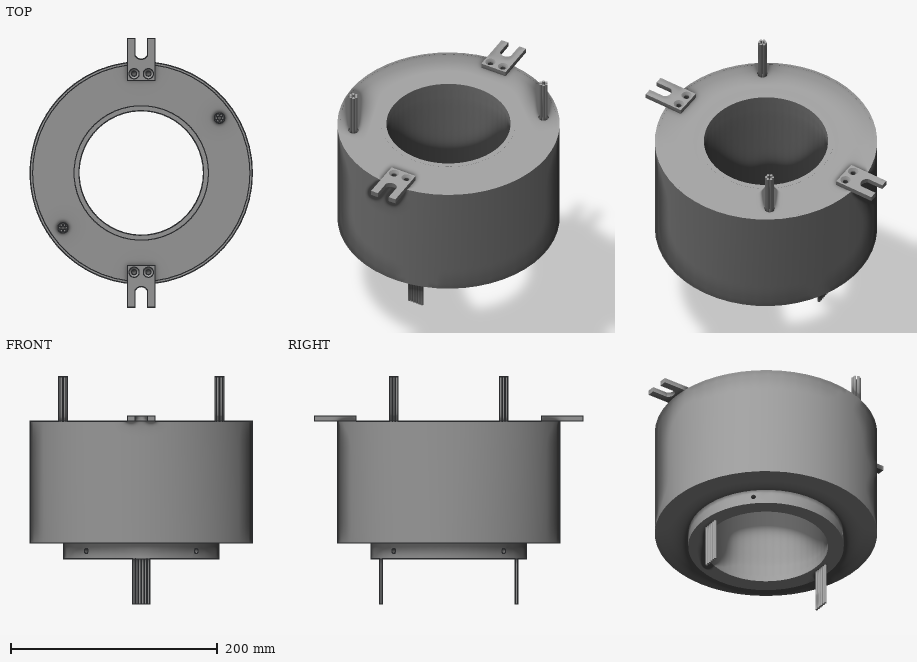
import cadquery as cq
import math

HOUSING_DIAMETER = 215.0
HOUSING_HEIGHT = 118.0
COLLAR_DIAMETER = 150.5
COLLAR_HEIGHT = 15.0
BORE_DIAMETER = 120.0

COVER_INNER_DIAMETER = 130.0
COVER_OUTER_DIAMETER = 210.0
COVER_STEP = 0.13

SET_SCREW_COUNT = 4
SET_SCREW_START_ANGLE = 45
SET_SCREW_DIAMETER = 5.0
SET_SCREW_DEPTH = 9.0

OVERALL_LENGTH = 260.0
BRACKET_WIDTH = 26.8
BRACKET_LENGTH = 40.5
BRACKET_THICKNESS = 5.0
FORK_WIDTH = 12.0
FORK_DEPTH = 20.0
FORK_END_RADIUS = 6.8

SCREW_SPACING = 13.8
SCREW_EDGE_DISTANCE = 6.5
SCREW_DIAMETER = 5.0
SCREW_HEAD_DIAMETER = 10.0
COUNTERSINK_ANGLE = 90
SCREW_HOLE_DEPTH = 15.5
DRILL_POINT_ANGLE = 118

WIRE_DIAMETER = 2.5
BUNDLE_WIRE_COUNT = 6
BUNDLE_PITCH_RADIUS = 3.0
BUNDLE_LENGTH = 43.0
BUNDLE_X = 75.7
BUNDLE_Y = 53.0
BUNDLE_HOLE_DIAMETER = 10.1
BUNDLE_HOLE_DEPTH = 2.5
ROW_WIRE_COUNT = 6
ROW_WIRE_GAP = 0.2
ROW_LENGTH = 44.0
ROW_RADIUS = 65.5
ROOT_DEPTH = 4.0

TOP = HOUSING_HEIGHT
BOTTOM = -COLLAR_HEIGHT

ROW_PITCH = WIRE_DIAMETER + ROW_WIRE_GAP


def cylinder(diameter, z_start, z_end):
    return cq.Workplane("XY").workplane(offset=z_start).circle(diameter / 2).extrude(z_end - z_start)


def drill(diameter, depth):
    """Pointed drill along -Z from the origin; the depth is that of the full diameter."""
    radius = diameter / 2
    point = radius / math.tan(math.radians(DRILL_POINT_ANGLE / 2))
    profile = cq.Workplane("XZ").polyline([(0, 0), (radius, 0), (radius, -depth), (0, -depth - point)])
    return profile.close().revolve(360, (0, 0), (0, 1))


def make_housing():
    body = cylinder(HOUSING_DIAMETER, 0, TOP).union(cylinder(COLLAR_DIAMETER, BOTTOM, 0))
    body = body.cut(cylinder(BORE_DIAMETER, BOTTOM, TOP))
    step = cylinder(COVER_OUTER_DIAMETER, TOP - COVER_STEP, TOP)
    return body.cut(step.cut(cylinder(COVER_INNER_DIAMETER, TOP - COVER_STEP, TOP)))


def set_screw_drills():
    radial = drill(SET_SCREW_DIAMETER, SET_SCREW_DEPTH).rotate((0, 0, 0), (0, 1, 0), 90)
    radial = radial.translate((COLLAR_DIAMETER / 2, 0, -COLLAR_HEIGHT / 2))
    spacing = 360 / SET_SCREW_COUNT
    angles = [SET_SCREW_START_ANGLE + i * spacing for i in range(SET_SCREW_COUNT)]
    return [radial.rotate((0, 0, 0), (0, 0, 1), angle) for angle in angles]


def make_bracket():
    """Bracket at the +Y end, with its fork open outward."""
    outer_y = OVERALL_LENGTH / 2
    inner_y = outer_y - BRACKET_LENGTH
    fork_y = outer_y - FORK_DEPTH
    half_width = BRACKET_WIDTH / 2
    half_fork = FORK_WIDTH / 2
    arc_rise = FORK_END_RADIUS - math.sqrt(FORK_END_RADIUS**2 - half_fork**2)
    outline = (
        cq.Workplane("XY")
        .workplane(offset=TOP - COVER_STEP)
        .moveTo(-half_width, inner_y)
        .lineTo(half_width, inner_y)
        .lineTo(half_width, outer_y)
        .lineTo(half_fork, outer_y)
        .lineTo(half_fork, fork_y + arc_rise)
        .threePointArc((0, fork_y), (-half_fork, fork_y + arc_rise))
        .lineTo(-half_fork, outer_y)
        .lineTo(-half_width, outer_y)
        .close()
    )
    return outline.extrude(BRACKET_THICKNESS + COVER_STEP)


def bracket_screw_drills():
    """Countersunk drills for the +Y bracket, running on into the housing."""
    head_radius = SCREW_HEAD_DIAMETER / 2
    sink_depth = head_radius / math.tan(math.radians(COUNTERSINK_ANGLE / 2))
    sink = cq.Workplane("XZ").polyline([(0, 0), (head_radius, 0), (0, -sink_depth)])
    sink = sink.close().revolve(360, (0, 0), (0, 1))
    tool = drill(SCREW_DIAMETER, SCREW_HOLE_DEPTH).union(sink)
    y = OVERALL_LENGTH / 2 - BRACKET_LENGTH + SCREW_EDGE_DISTANCE
    return [tool.translate((side * SCREW_SPACING / 2, y, TOP + BRACKET_THICKNESS)) for side in (-1, 1)]


def wire_bundle(x, y):
    points = cq.Workplane("XY").workplane(offset=TOP - ROOT_DEPTH).center(x, y)
    points = points.polarArray(BUNDLE_PITCH_RADIUS, 0, 360, BUNDLE_WIRE_COUNT)
    return points.circle(WIRE_DIAMETER / 2).extrude(BUNDLE_LENGTH + ROOT_DEPTH)


def wire_row(y):
    points = cq.Workplane("XY").workplane(offset=BOTTOM - ROW_LENGTH).center(0, y)
    points = points.rarray(ROW_PITCH, 2.5, ROW_WIRE_COUNT, 1)
    return points.circle(WIRE_DIAMETER / 2).extrude(ROW_LENGTH + ROOT_DEPTH)


def half_turn(shape):
    return shape.rotate((0, 0, 0), (0, 0, 1), 180)


result = make_housing()
for screw in set_screw_drills():
    result = result.cut(screw)

bracket = make_bracket()
result = result.union(bracket).union(half_turn(bracket))
for screw in bracket_screw_drills():
    result = result.cut(screw).cut(half_turn(screw))

for side in (-1, 1):
    x = side * BUNDLE_X
    y = side * BUNDLE_Y
    bundle_hole = cylinder(BUNDLE_HOLE_DIAMETER, TOP - BUNDLE_HOLE_DEPTH, TOP).translate((x, y, 0))
    result = result.cut(bundle_hole).union(wire_bundle(x, y))
    result = result.union(wire_row(side * ROW_RADIUS))